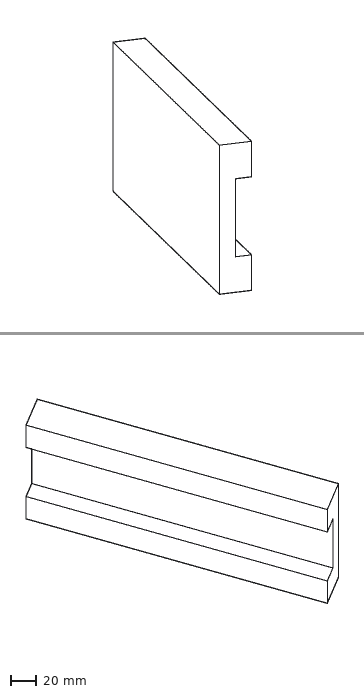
import cadquery as cq

length = 253.0
thickness = 27.0
height = 126.0

rail_height = 30.0
channel_height = height - 2 * rail_height
channel_depth = thickness / 2

plate = cq.Workplane("XY").box(length, thickness, height)

channel = (
    cq.Workplane("XY")
    .box(length, channel_depth, channel_height)
    .translate((0, (thickness - channel_depth) / 2, 0))
)

result = plate.cut(channel)